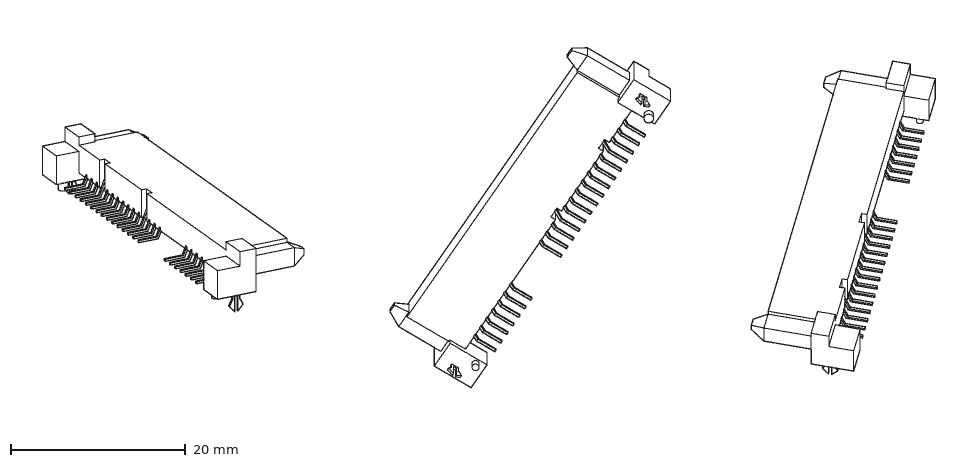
import cadquery as cq
import math


length = 42.4
block_width = 3.4
block_depth = 5.0
block_height = 5.35
step_depth = 2.93
step_height = 3.55

housing_length = 36.15
housing_left = -18.15
housing_right = housing_left + housing_length
housing_bottom = 0.9
housing_top = 4.32
housing_back = 10.73

ear_left = -20.3
ear_right = 19.8
ear_width = 2.15
ear_bottom = 1.53
ear_top = 3.8
tip_end = 12.4
tip_width = 0.98
tip_height = 0.7
tip_outer_inset = 0.7
tip_center_z = 2.7

first_pin = -15.95
last_pin = 15.8
pin_positions = 26
gap_positions = range(15, 19)
pin_pitch = (last_pin - first_pin) / (pin_positions - 1)
pin_width = 0.3
pin_thickness = 0.25
foot_end = 0.13
foot_bend = 2.45
upper_bend = 3.25
pin_top = 2.08
pin_root = 4.25

notched_pins = (3, 11)
notch_width = 1.27
notch_depth = 0.65

post_inset = 2.8
post_y = 1.2
post_length = 1.0
left_post_diameter = 1.1
right_post_diameter = 0.8

clip_inset = 1.2
clip_y = 3.0
clip_thickness = 0.25
clip_length = 2.45
clip_stem_width = 0.95
clip_stem_length = 0.9
clip_barb_width = 1.8
clip_barb_drop = 1.7
clip_slot_width = 0.4
clip_slot_top = -0.45


def box(x0, x1, y0, y1, z0, z1):
    """Box between the given limits."""
    return cq.Workplane("XY").box(x1 - x0, y1 - y0, z1 - z0, centered=False).translate((x0, y0, z0))


def extrude_along_x(points, center_x, width):
    """Closed (y, z) outline extruded symmetrically about center_x."""
    return cq.Workplane("YZ", origin=(center_x, 0, 0)).polyline(points).close().extrude(width / 2, both=True)


def pin_x(index):
    return first_pin + index * pin_pitch


def end_block(side):
    """Stepped end block; side is -1 for left and +1 for right."""
    outline = [
        (0, 0),
        (block_depth, 0),
        (block_depth, block_height),
        (step_depth, block_height),
        (step_depth, step_height),
        (0, step_height),
    ]
    return extrude_along_x(outline, side * (length - block_width) / 2, block_width)


def housing():
    """Long housing with a vertical notch at each notched pin."""
    body = box(housing_left, housing_right, step_depth, housing_back, housing_bottom, housing_top)
    for index in notched_pins:
        left = pin_x(index) - notch_width / 2
        notch = box(
            left, left + notch_width,
            step_depth, step_depth + notch_depth,
            housing_bottom, housing_top,
        )
        body = body.cut(notch)
    return body


def guide_ear(side, outer_x):
    """Guide ear running inward from outer_x, with its lofted tip."""
    inner_x = outer_x - side * ear_width
    ear = box(
        min(inner_x, outer_x), max(inner_x, outer_x),
        block_depth, housing_back, ear_bottom, ear_top,
    )
    base_center = ((inner_x + outer_x) / 2, housing_back, (ear_bottom + ear_top) / 2)
    tip_center = (outer_x - side * (tip_outer_inset + tip_width / 2), tip_end, tip_center_z)
    base_wire = cq.Workplane("XZ", origin=base_center).rect(ear_width, ear_top - ear_bottom).val()
    tip_wire = cq.Workplane("XZ", origin=tip_center).rect(tip_width, tip_height).val()
    tip = cq.Workplane(cq.Solid.makeLoft([base_wire, tip_wire], True))
    return ear.union(tip)


def contact_pin(center_x):
    """Pin leaving the housing level, sloping down, then running level as a solder foot."""
    slope = math.atan2(pin_top - pin_thickness, upper_bend - foot_bend)
    miter = pin_thickness * math.tan(slope / 2)
    outline = [
        (foot_end, 0),
        (foot_bend + miter, 0),
        (upper_bend + miter, pin_top - pin_thickness),
        (pin_root, pin_top - pin_thickness),
        (pin_root, pin_top),
        (upper_bend, pin_top),
        (foot_bend, pin_thickness),
        (foot_end, pin_thickness),
    ]
    return extrude_along_x(outline, center_x, pin_width)


def locating_post(side, diameter):
    """Round post below an end block."""
    center_x = side * (length / 2 - post_inset)
    return cq.Workplane("XY", origin=(center_x, post_y, 0)).circle(diameter / 2).extrude(-post_length)


def board_clip(side):
    """Flat barbed clip below an end block, split into two prongs."""
    center_x = side * (length / 2 - clip_inset)
    half_outline = [
        (clip_stem_width / 2, 0),
        (clip_stem_width / 2, -clip_stem_length),
        (clip_barb_width / 2, -clip_barb_drop),
        (clip_slot_width / 2, -clip_length),
        (clip_slot_width / 2, clip_slot_top),
    ]
    right_half = [(clip_y + offset, z) for offset, z in half_outline]
    left_half = [(clip_y - offset, z) for offset, z in reversed(half_outline)]
    return extrude_along_x(right_half + left_half, center_x, clip_thickness)


result = housing()
for side, ear_x, post_diameter in (
    (-1, ear_left, left_post_diameter),
    (1, ear_right, right_post_diameter),
):
    result = result.union(end_block(side))
    result = result.union(guide_ear(side, ear_x))
    result = result.union(locating_post(side, post_diameter))
    result = result.union(board_clip(side))

for index in range(pin_positions):
    if index not in gap_positions:
        result = result.union(contact_pin(pin_x(index)))